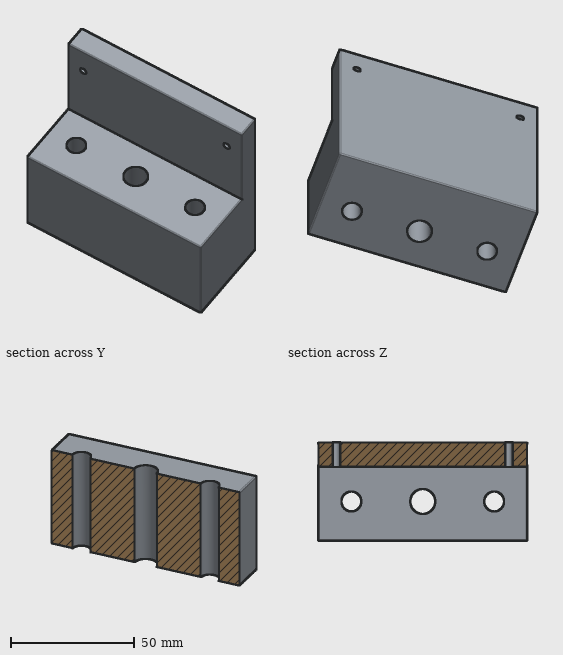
import cadquery as cq

width = 85.0
depth = 40.0
height = 85.0
plate_thickness = 10.0
base_height = 43.0
edge_radius = 0.5

center_hole_diameter = 10.0
side_hole_diameter = 8.0
side_hole_offset = 29.0
base_hole_from_front = 16.0

mount_hole_diameter = 3.0
mount_hole_offset = 35.0
mount_hole_from_top = 12.5


def l_shaped_body():
    """L-shaped block, front face at Y = 0, with its outer edges rounded."""
    plate_front = depth - plate_thickness
    body = (
        cq.Workplane("YZ")
        .polyline([
            (0, 0),
            (depth, 0),
            (depth, height),
            (plate_front, height),
            (plate_front, base_height),
            (0, base_height),
        ])
        .close()
        .extrude(width / 2, both=True)
    )
    inside_corner = cq.selectors.NearestToPointSelector((0, plate_front, base_height))
    outer_edges = body.edges(cq.selectors.SubtractSelector(cq.Selector(), inside_corner))
    return outer_edges.fillet(edge_radius)


def vertical_hole(x, diameter):
    return (
        cq.Workplane("XY")
        .center(x, base_hole_from_front)
        .circle(diameter / 2)
        .extrude(base_height)
    )


def mount_hole(x):
    return (
        cq.Workplane("XZ")
        .center(x, height - mount_hole_from_top)
        .circle(mount_hole_diameter / 2)
        .extrude(-depth)
    )


result = l_shaped_body().cut(vertical_hole(0, center_hole_diameter))
for side in (-1, 1):
    result = result.cut(vertical_hole(side * side_hole_offset, side_hole_diameter))
    result = result.cut(mount_hole(side * mount_hole_offset))